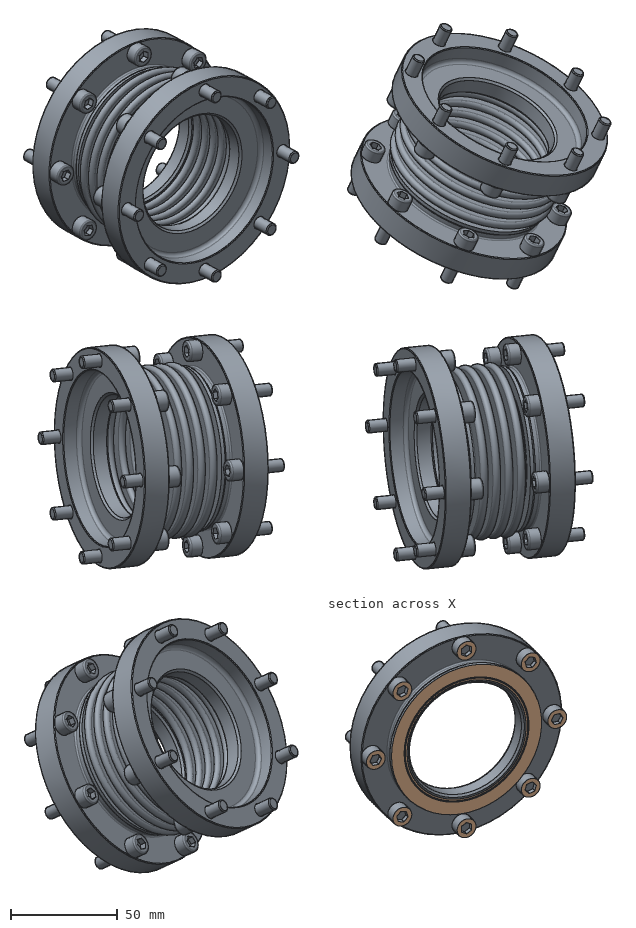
import cadquery as cq
import math

total_length = 81.8

flange_diameter = 104.0
flange_inner_x = 19.0
flange_thickness = 12.7
flange_chamfer = 0.4
recess_diameter = 83.0
recess_depth = 8.8
recess_fillet = 2.0
recess_chamfer = 0.4
bore_diameter = 58.0
bore_chamfer = 1.0

collar_diameter = 78.0
groove_diameter = 76.0
collar_end_x = 13.5
collar_width = 1.8
collar_seat_diameter = 64.5
bore_end_x = 13.9
groove_slope_width = (collar_diameter - groove_diameter) / 2
groove_fillet = 0.7

crest_count = 4
pitch = 6.0
crest_diameter = 82.2
root_diameter = 61.2
crest_radius = 1.9
wall = 0.6

screw_count = 8
screw_circle_diameter = 94.0
screw_diameter = 6.0
screw_hole_diameter = 6.5
screw_tip_chamfer = 0.5
head_diameter = 10.0
head_height = 6.1
head_fillet = 0.7
socket_width = 5.0
socket_depth = 3.0

flange_outer_x = flange_inner_x + flange_thickness
half_length = total_length / 2


def revolve_about_x(profile):
    return profile.close().revolve(360, (0, 0, 0), (1, 0, 0))


def arc_through(profile, center, radius, start_angle, end_angle):
    """Continue the profile along a circular arc given by its center and angles in degrees."""
    points = []
    for angle in ((start_angle + end_angle) / 2, end_angle):
        turn = math.radians(angle)
        points.append((center[0] + radius * math.cos(turn), center[1] + radius * math.sin(turn)))
    return profile.threePointArc(*points)


def make_end():
    """Flange ring, recessed web and grooved neck on the +X end."""
    flange_radius = flange_diameter / 2
    recess_radius = recess_diameter / 2
    bore_radius = bore_diameter / 2
    collar_radius = collar_diameter / 2
    collar_seat_radius = collar_seat_diameter / 2
    groove_radius = groove_diameter / 2
    web_x = flange_outer_x - recess_depth
    collar_start_x = collar_end_x + collar_width
    recess_fillet_center = (web_x + recess_fillet, recess_radius - recess_fillet)
    groove_fillet_center = (flange_inner_x - groove_fillet, groove_radius + groove_fillet)

    profile = (
        cq.Workplane("XY")
        .moveTo(bore_end_x, bore_radius + bore_chamfer)
        .lineTo(bore_end_x + bore_chamfer, bore_radius)
        .lineTo(web_x - bore_chamfer, bore_radius)
        .lineTo(web_x, bore_radius + bore_chamfer)
        .lineTo(web_x, recess_radius - recess_fillet)
    )
    profile = arc_through(profile, recess_fillet_center, recess_fillet, 180, 90)
    profile = (
        profile.lineTo(flange_outer_x - recess_chamfer, recess_radius)
        .lineTo(flange_outer_x, recess_radius + recess_chamfer)
        .lineTo(flange_outer_x, flange_radius - flange_chamfer)
        .lineTo(flange_outer_x - flange_chamfer, flange_radius)
        .lineTo(flange_inner_x + flange_chamfer, flange_radius)
        .lineTo(flange_inner_x, flange_radius - flange_chamfer)
        .lineTo(flange_inner_x, groove_radius + groove_fillet)
    )
    profile = arc_through(profile, groove_fillet_center, groove_fillet, 0, -90)
    profile = (
        profile.lineTo(collar_start_x + groove_slope_width, groove_radius)
        .lineTo(collar_start_x, collar_radius)
        .lineTo(collar_end_x, collar_radius)
        .lineTo(collar_end_x, collar_seat_radius)
        .lineTo(bore_end_x, collar_seat_radius)
    )
    return revolve_about_x(profile)


def make_bellows():
    """Corrugated wall of even thickness; its end roots run into the collars."""
    crest_center = crest_diameter / 2 - crest_radius
    root_radius = pitch / 2 - crest_radius
    root_center = root_diameter / 2 + root_radius
    end_root_start = (crest_count - 1) / 2 * pitch + crest_radius
    end_root_radius = (collar_end_x - end_root_start) / 2
    end_root_center = root_diameter / 2 + end_root_radius
    end_root_x = collar_end_x - end_root_radius

    def trace(profile, direction, offset):
        """Follow the waves along X; the offset moves the line from the outside into the wall."""
        start_angle = 90 + 90 * direction
        end_angle = 90 - 90 * direction
        first_root = (-direction * end_root_x, end_root_center)
        last_root = (direction * end_root_x, end_root_center)
        last_root_start_x = last_root[0] - direction * (end_root_radius + offset)
        profile = arc_through(
            profile, first_root, end_root_radius + offset, -start_angle, -end_angle
        )
        for index in range(crest_count):
            crest_x = direction * pitch * (index - (crest_count - 1) / 2)
            profile = profile.lineTo(crest_x - direction * (crest_radius - offset), crest_center)
            profile = arc_through(
                profile, (crest_x, crest_center), crest_radius - offset, start_angle, end_angle
            )
            if index < crest_count - 1:
                root_x = crest_x + direction * pitch / 2
                profile = profile.lineTo(root_x - direction * (root_radius + offset), root_center)
                profile = arc_through(
                    profile, (root_x, root_center), root_radius + offset, -start_angle, -end_angle
                )
        profile = profile.lineTo(last_root_start_x, end_root_center)
        return arc_through(profile, last_root, end_root_radius + offset, -start_angle, -end_angle)

    profile = cq.Workplane("XY").moveTo(-collar_end_x, end_root_center)
    profile = trace(profile, 1, 0)
    profile = profile.lineTo(collar_end_x + wall, end_root_center)
    profile = trace(profile, -1, wall)
    return revolve_about_x(profile)


def make_screw():
    """Socket head cap screw along +X with its head seated on the flange's inner face."""
    head_x = flange_inner_x - head_height
    shank = (
        cq.Workplane("YZ", origin=(flange_inner_x, 0, 0))
        .circle(screw_diameter / 2)
        .extrude(half_length - flange_inner_x)
        .faces(">X")
        .chamfer(screw_tip_chamfer)
    )
    head = (
        cq.Workplane("YZ", origin=(head_x, 0, 0))
        .circle(head_diameter / 2)
        .extrude(head_height)
        .faces("<X")
        .fillet(head_fillet)
    )
    socket = (
        cq.Workplane("YZ", origin=(head_x, 0, 0))
        .polygon(6, socket_width, circumscribed=True)
        .extrude(socket_depth)
    )
    return head.cut(socket).union(shank)


def make_bolted_end():
    """+X end with its screw holes and screws."""
    end = make_end()
    hole = (
        cq.Workplane("YZ", origin=(flange_inner_x, 0, 0))
        .circle(screw_hole_diameter / 2)
        .extrude(flange_thickness)
    )
    screw = make_screw()
    for index in range(screw_count):
        angle = index * 360 / screw_count
        offset = (0, 0, screw_circle_diameter / 2)
        end = end.cut(hole.translate(offset).rotate((0, 0, 0), (1, 0, 0), angle))
        end = end.union(screw.translate(offset).rotate((0, 0, 0), (1, 0, 0), angle))
    return end


bolted_end = make_bolted_end()
result = make_bellows().union(bolted_end).union(bolted_end.mirror("YZ"))